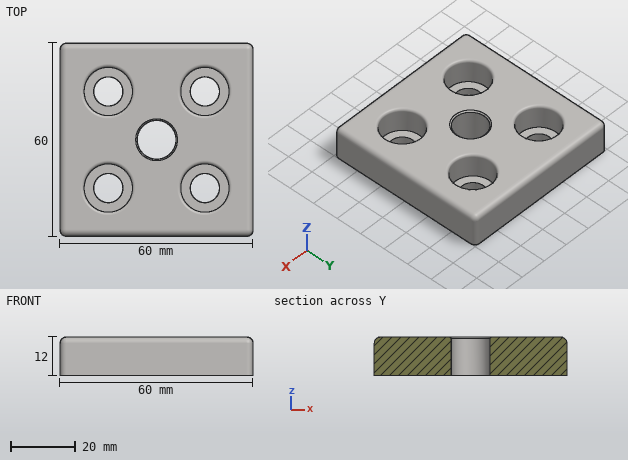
import cadquery as cq

side_length = 60.0
thickness = 12.0
edge_radius = 2.0

hole_spacing = 30.0
hole_diameter = 9.0
counterbore_diameter = 15.0
counterbore_depth = 9.0
counterbore_round = 1.0

center_hole_diameter = 12.0
center_chamfer = 0.5


def make_block():
    """Square plate with rounded vertical and top edges and a sharp bottom."""
    block = cq.Workplane("XY").box(side_length, side_length, thickness, centered=(True, True, False))
    return block.edges("|Z").fillet(edge_radius).faces(">Z").edges().fillet(edge_radius)


def make_counterbore_cutter(x, y):
    """Revolved cutter: through hole, flat-floored counterbore and flared rounded mouth."""
    hole_radius = hole_diameter / 2
    bore_radius = counterbore_diameter / 2
    mouth_radius = bore_radius + counterbore_round
    floor_z = thickness - counterbore_depth
    profile = (
        cq.Workplane("XZ")
        .lineTo(hole_radius, 0)
        .lineTo(hole_radius, floor_z)
        .lineTo(bore_radius, floor_z)
        .lineTo(bore_radius, thickness - counterbore_round)
        .radiusArc((mouth_radius, thickness), counterbore_round)
        .lineTo(0, thickness)
        .close()
    )
    return profile.revolve(360, (0, 0, 0), (0, 1, 0)).translate((x, y, 0))


def make_center_cutter():
    """Through hole with a chamfered top rim."""
    hole_radius = center_hole_diameter / 2
    profile = (
        cq.Workplane("XZ")
        .lineTo(hole_radius, 0)
        .lineTo(hole_radius, thickness - center_chamfer)
        .lineTo(hole_radius + center_chamfer, thickness)
        .lineTo(0, thickness)
        .close()
    )
    return profile.revolve(360, (0, 0, 0), (0, 1, 0))


result = make_block().cut(make_center_cutter())
for x_sign in (-1, 1):
    for y_sign in (-1, 1):
        cutter = make_counterbore_cutter(x_sign * hole_spacing / 2, y_sign * hole_spacing / 2)
        result = result.cut(cutter)